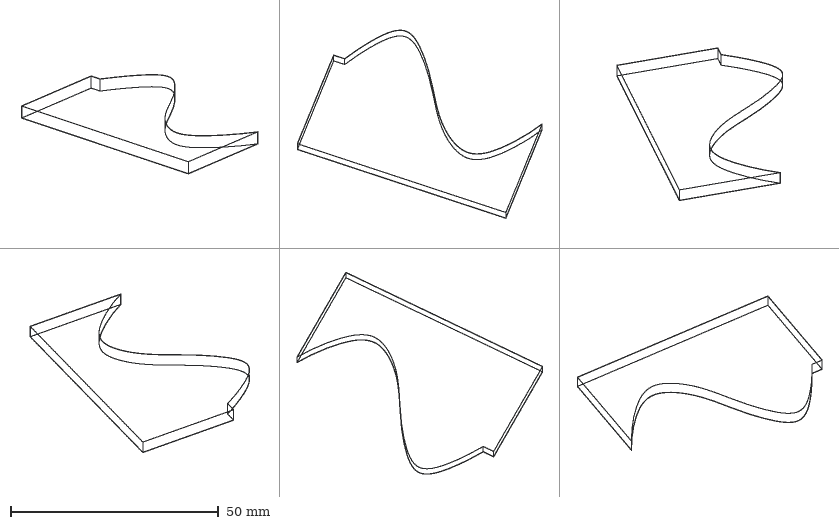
import cadquery as cq

length = 53.5
thickness = 3.15
shoulder_height = 25.35
shoulder_width = 2.85

tip = (length, shoulder_height)
rising_flank = (47.15, 16.7)
trough = (39.4, 12.0)
lower_flank = (32.1, 15.9)
middle = (26.1, 24.2)
upper_flank = (20.05, 33.1)
crest = (14.05, 37.4)
falling_flank = (7.95, 33.0)
shoulder_corner = (shoulder_width, shoulder_height)

wave_points = [
    tip,
    rising_flank,
    trough,
    lower_flank,
    middle,
    upper_flank,
    crest,
    falling_flank,
    shoulder_corner,
]

outline = (
    cq.Workplane("XY")
    .lineTo(length, 0)
    .lineTo(*tip)
    .spline(wave_points[1:], includeCurrent=True)
    .lineTo(0, shoulder_height)
    .close()
)
result = outline.extrude(thickness)